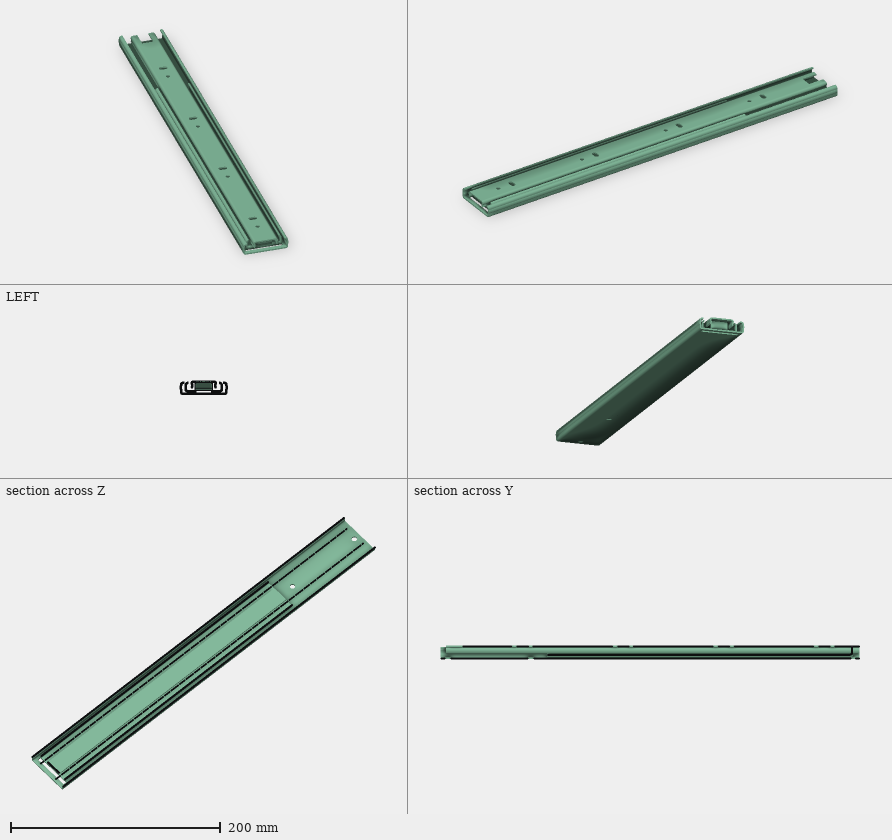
import cadquery as cq
import math

LENGTH = 400.0
WIDTH = 45.5
HEIGHT = 13.0
SHEET = 1.4
DIAGONAL = math.sqrt(0.5)

CABINET_TOP = 11.5
BULGE = 0.5
WALL_Y = WIDTH / 2 - BULGE
BULGE_Z = 6.5
BULGE_HEIGHT = 4.0
BULGE_BOTTOM = BULGE_Z - BULGE_HEIGHT / 2
BULGE_TOP = BULGE_Z + BULGE_HEIGHT / 2
CABINET_BOTTOM_BEND = 2.0
CABINET_TOP_BEND = 2.5
LIP_Y = 19.0
CABINET_HOLE_DIAMETER = 5.0
CABINET_HOLE_X = 7.0
SLOT_START = 392.0
SLOT_END = 395.5
SLOT_LENGTH = 37.0

MIDDLE_START = 101.5
MIDDLE_END = 393.0
MIDDLE_WIDTH = 35.5
MIDDLE_WALL_Y = MIDDLE_WIDTH / 2
MIDDLE_TOP = CABINET_TOP
MIDDLE_BOTTOM = 2.5
MIDDLE_TOP_BEND = 3.0
MIDDLE_BOTTOM_BEND = 2.0
RISER_Y = 8.5
RISER_SHEET = 1.0
WEB_RISE = 1.0
STOP_BEND = 2.5
STOP_CLEARANCE = 0.1
STOP_TOP = HEIGHT - SHEET - STOP_CLEARANCE
STOP_CORNER = 1.5

DRAWER_START = 5.0
DRAWER_WIDTH = 24.5
DRAWER_WALL_Y = DRAWER_WIDTH / 2
DRAWER_BEND = 2.5
TRACK_RADIUS = 2.5
TRACK_Y = 14.0
TRACK_Z = 8.5
NOTCH_END = 21.0
NOTCH_WIDTH = 11.0
HOLE_PITCH = 96.0
HOLE_COUNT = 4
OBLONG_X = 70.5
OBLONG_WIDTH = 5.0
OBLONG_LENGTH = 8.5
ROUND_X = 86.0
ROUND_DIAMETER = 4.0


def bend(outline, center_y, center_z, radius, toward_y, toward_z, end):
    """Add a quarter bend whose middle lies diagonally toward the given signs."""
    middle = (
        center_y + toward_y * radius * DIAGONAL,
        center_z + toward_z * radius * DIAGONAL,
    )
    return outline.threePointArc(middle, end)


def both_sides(half_outline, length):
    """Extrude the half section on the +Y side along X and join its mirror image."""
    half = half_outline.close().extrude(length)
    return half.union(half.mirror("XZ")).clean()


def cabinet_member():
    inner_y = WALL_Y - SHEET
    bottom_y = WALL_Y - CABINET_BOTTOM_BEND
    top_y = WALL_Y - CABINET_TOP_BEND
    bottom_z = CABINET_BOTTOM_BEND
    top_z = CABINET_TOP - CABINET_TOP_BEND

    outline = cq.Workplane("YZ").moveTo(0, 0).lineTo(bottom_y, 0)
    outline = bend(outline, bottom_y, bottom_z, CABINET_BOTTOM_BEND, 1, -1, (WALL_Y, bottom_z))
    outline = (
        outline.lineTo(WALL_Y, BULGE_BOTTOM)
        .threePointArc((WALL_Y + BULGE, BULGE_Z), (WALL_Y, BULGE_TOP))
        .lineTo(WALL_Y, top_z)
    )
    outline = bend(outline, top_y, top_z, CABINET_TOP_BEND, 1, 1, (top_y, CABINET_TOP))
    outline = (
        outline.lineTo(LIP_Y, CABINET_TOP)
        .lineTo(LIP_Y, CABINET_TOP - SHEET)
        .lineTo(top_y, CABINET_TOP - SHEET)
    )
    outline = bend(outline, top_y, top_z, CABINET_TOP_BEND - SHEET, 1, 1, (inner_y, top_z))
    outline = (
        outline.lineTo(inner_y, BULGE_TOP)
        .threePointArc((inner_y + BULGE, BULGE_Z), (inner_y, BULGE_BOTTOM))
        .lineTo(inner_y, bottom_z)
    )
    outline = bend(outline, bottom_y, bottom_z, CABINET_BOTTOM_BEND - SHEET, 1, -1, (bottom_y, SHEET))
    body = both_sides(outline.lineTo(0, SHEET), LENGTH)

    hole_places = [(CABINET_HOLE_X, 0), (ROUND_X, 0)]
    holes = cq.Workplane("XY").pushPoints(hole_places).circle(CABINET_HOLE_DIAMETER / 2).extrude(SHEET)
    slot = (
        cq.Workplane("XY")
        .center((SLOT_START + SLOT_END) / 2, 0)
        .rect(SLOT_END - SLOT_START, SLOT_LENGTH)
        .extrude(SHEET)
    )
    return body.cut(holes).cut(slot)


def end_stop():
    """Tab bent up from the raised web at the far end of the intermediate member."""
    bottom = MIDDLE_BOTTOM + WEB_RISE
    bend_x = MIDDLE_END - STOP_BEND
    bend_z = bottom + STOP_BEND
    inner_x = MIDDLE_END - SHEET

    outline = cq.Workplane("XZ").moveTo(bend_x, bottom)
    outline = bend(outline, bend_x, bend_z, STOP_BEND, 1, -1, (MIDDLE_END, bend_z))
    outline = outline.lineTo(MIDDLE_END, STOP_TOP).lineTo(inner_x, STOP_TOP).lineTo(inner_x, bend_z)
    outline = bend(outline, bend_x, bend_z, STOP_BEND - SHEET, 1, -1, (bend_x, bottom + SHEET))
    tab = outline.close().extrude(RISER_Y, both=True)
    return tab.edges("|X").edges(">Z").fillet(STOP_CORNER)


def intermediate_member():
    inner_y = MIDDLE_WALL_Y - SHEET
    bottom_y = MIDDLE_WALL_Y - MIDDLE_BOTTOM_BEND
    top_y = MIDDLE_WALL_Y - MIDDLE_TOP_BEND
    bottom_z = MIDDLE_BOTTOM + MIDDLE_BOTTOM_BEND
    top_z = MIDDLE_TOP - MIDDLE_TOP_BEND
    plate_top = MIDDLE_BOTTOM + SHEET
    web_bottom = MIDDLE_BOTTOM + WEB_RISE
    web_top = web_bottom + SHEET
    riser_inner_y = RISER_Y - RISER_SHEET

    outline = (
        cq.Workplane("YZ", origin=(MIDDLE_START, 0, 0))
        .moveTo(0, web_bottom)
        .lineTo(riser_inner_y, web_bottom)
        .lineTo(riser_inner_y, MIDDLE_BOTTOM)
        .lineTo(bottom_y, MIDDLE_BOTTOM)
    )
    outline = bend(outline, bottom_y, bottom_z, MIDDLE_BOTTOM_BEND, 1, -1, (MIDDLE_WALL_Y, bottom_z))
    outline = outline.lineTo(MIDDLE_WALL_Y, top_z)
    outline = bend(outline, top_y, top_z, MIDDLE_TOP_BEND, 1, 1, (top_y, MIDDLE_TOP))
    outline = outline.lineTo(top_y, MIDDLE_TOP - SHEET)
    outline = bend(outline, top_y, top_z, MIDDLE_TOP_BEND - SHEET, 1, 1, (inner_y, top_z))
    outline = outline.lineTo(inner_y, bottom_z)
    outline = bend(outline, bottom_y, bottom_z, MIDDLE_BOTTOM_BEND - SHEET, 1, -1, (bottom_y, plate_top))
    outline = outline.lineTo(RISER_Y, plate_top).lineTo(RISER_Y, web_top).lineTo(0, web_top)
    body = both_sides(outline, MIDDLE_END - MIDDLE_START)

    web_end = (
        cq.Workplane("XY")
        .center(MIDDLE_END, 0)
        .rect(2 * STOP_BEND, 2 * RISER_Y)
        .extrude(HEIGHT)
    )
    return body.cut(web_end).union(end_stop())


def drawer_member():
    inner_y = DRAWER_WALL_Y - SHEET
    bend_y = DRAWER_WALL_Y - DRAWER_BEND
    bend_z = HEIGHT - DRAWER_BEND
    inner_radius = TRACK_RADIUS + SHEET
    cosine = (TRACK_Y - DRAWER_WALL_Y) / TRACK_RADIUS
    sine = math.sqrt(1 - cosine**2)
    inner_start_z = TRACK_Z + math.sqrt(inner_radius**2 - (TRACK_Y - inner_y) ** 2)

    outline = cq.Workplane("YZ", origin=(DRAWER_START, 0, 0)).moveTo(0, HEIGHT).lineTo(bend_y, HEIGHT)
    outline = bend(outline, bend_y, bend_z, DRAWER_BEND, 1, 1, (DRAWER_WALL_Y, bend_z))
    outline = (
        outline.lineTo(DRAWER_WALL_Y, TRACK_Z + TRACK_RADIUS * sine)
        .threePointArc(
            (TRACK_Y - TRACK_RADIUS, TRACK_Z),
            (DRAWER_WALL_Y, TRACK_Z - TRACK_RADIUS * sine),
        )
        .lineTo(TRACK_Y - inner_radius * cosine, TRACK_Z - inner_radius * sine)
        .threePointArc((TRACK_Y - inner_radius, TRACK_Z), (inner_y, inner_start_z))
    )
    outline = bend(outline, bend_y, bend_z, DRAWER_BEND - SHEET, 1, 1, (bend_y, HEIGHT - SHEET))
    body = both_sides(outline.lineTo(0, HEIGHT - SHEET), LENGTH - DRAWER_START)

    notch = cq.Workplane("XY").rect(2 * NOTCH_END, NOTCH_WIDTH).extrude(HEIGHT)
    body = body.cut(notch)
    for index in range(HOLE_COUNT):
        shift = index * HOLE_PITCH
        oblong = cq.Workplane("XY").center(OBLONG_X + shift, 0).slot2D(OBLONG_LENGTH, OBLONG_WIDTH, 90)
        hole = cq.Workplane("XY").center(ROUND_X + shift, 0).circle(ROUND_DIAMETER / 2)
        body = body.cut(oblong.extrude(HEIGHT)).cut(hole.extrude(HEIGHT))
    return body


cabinet = cabinet_member()
intermediate = intermediate_member()
drawer = drawer_member()

result = cq.Compound.makeCompound([cabinet.val(), intermediate.val(), drawer.val()])